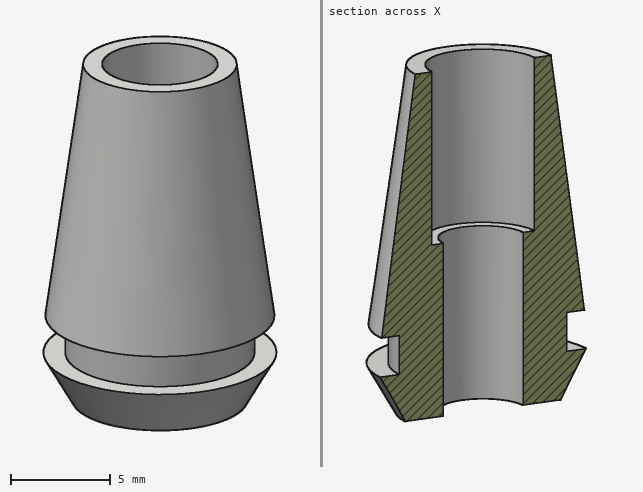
import cadquery as cq
import math

total_height = 18.0
collar_diameter = 11.7
collar_height = 2.5
collar_half_angle = 30.0
groove_diameter = 9.5
groove_height = 2.0
body_base_diameter = 11.5
body_half_angle = 8.0

bore_diameter = 4.5
upper_bore_diameter = 5.8
upper_bore_depth = 9.0


def tapered_radius(large_diameter, height, half_angle):
    """Radius at the small end of a cone."""
    return large_diameter / 2 - height * math.tan(math.radians(half_angle))


groove_top = collar_height + groove_height
body_height = total_height - groove_top
collar_bottom_radius = tapered_radius(collar_diameter, collar_height, collar_half_angle)
body_top_radius = tapered_radius(body_base_diameter, body_height, body_half_angle)

collet = (
    cq.Workplane("XZ")
    .lineTo(collar_bottom_radius, 0)
    .lineTo(collar_diameter / 2, collar_height)
    .lineTo(groove_diameter / 2, collar_height)
    .lineTo(groove_diameter / 2, groove_top)
    .lineTo(body_base_diameter / 2, groove_top)
    .lineTo(body_top_radius, total_height)
    .lineTo(0, total_height)
    .close()
    .revolve(360, (0, 0, 0), (0, 1, 0))
)

result = collet.faces(">Z").workplane().cboreHole(bore_diameter, upper_bore_diameter, upper_bore_depth)